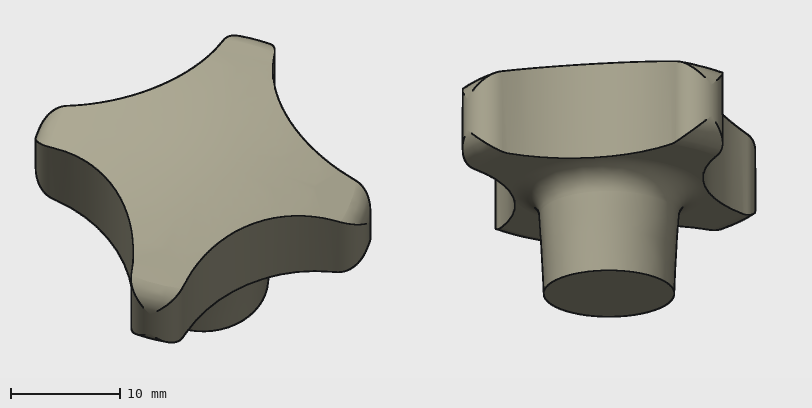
import cadquery as cq
import math

span = 32.0
height = 20.0
dome_radius = 50.0
round_radius = 2.5
stem_foot_diameter = 12.0
stem_draft = math.radians(3)
scallop_center = 15.87

tip_reach = span / 2
head_base = height / 2
stem_foot_radius = stem_foot_diameter / 2
tip_center = tip_reach - round_radius
scallop_radius = math.hypot(scallop_center - tip_center, scallop_center) - round_radius


def point_on_circle(center, radius, angle):
    return (center[0] + radius * math.cos(angle), center[1] + radius * math.sin(angle))


def make_head_blank():
    """Round head: domed top, flat underside and rounded rim, turned about Z."""
    dome_center = (0, height - dome_radius)
    rise = math.sqrt((dome_radius - round_radius) ** 2 - tip_center ** 2)
    upper_center = (tip_center, dome_center[1] + rise)
    lower_center = (tip_center, head_base + round_radius)
    rim_angle = math.atan2(rise, tip_center)
    dome_middle_angle = (rim_angle + math.pi / 2) / 2
    profile = (
        cq.Workplane("XZ")
        .moveTo(0, head_base)
        .lineTo(tip_center, head_base)
        .threePointArc(
            point_on_circle(lower_center, round_radius, -math.pi / 4),
            (tip_reach, lower_center[1]),
        )
        .lineTo(tip_reach, upper_center[1])
        .threePointArc(
            point_on_circle(upper_center, round_radius, rim_angle / 2),
            point_on_circle(upper_center, round_radius, rim_angle),
        )
        .threePointArc(
            point_on_circle(dome_center, dome_radius, dome_middle_angle),
            (0, height),
        )
        .close()
    )
    return profile.revolve(360, (0, 0, 0), (0, 1, 0))


def turn(point, angle):
    x, y = point
    return (
        x * math.cos(angle) - y * math.sin(angle),
        x * math.sin(angle) + y * math.cos(angle),
    )


def make_star_prism():
    """Four rounded tips joined by tangent concave scallops."""
    tangent_angle = math.atan2(scallop_center, scallop_center - tip_center)
    tip_start = point_on_circle((tip_center, 0), round_radius, -tangent_angle)
    tip_end = point_on_circle((tip_center, 0), round_radius, tangent_angle)
    scallop_middle = point_on_circle(
        (scallop_center, scallop_center), scallop_radius, -3 * math.pi / 4
    )
    outline = cq.Workplane("XY").workplane(offset=head_base).moveTo(*tip_start)
    for lobe in range(4):
        angle = lobe * math.pi / 2
        outline = outline.threePointArc(turn((tip_reach, 0), angle), turn(tip_end, angle))
        outline = outline.threePointArc(
            turn(scallop_middle, angle), turn(tip_start, angle + math.pi / 2)
        )
    return outline.close().extrude(height - head_base)


def make_stem():
    """Tapered stem that widens upward and flares into the head."""
    fillet_center_z = head_base - round_radius
    flare_start_z = fillet_center_z + round_radius * math.sin(stem_draft)
    flare_start_radius = stem_foot_radius + flare_start_z * math.tan(stem_draft)
    fillet_center = (
        flare_start_radius + round_radius * math.cos(stem_draft),
        fillet_center_z,
    )
    flare_start_angle = math.pi - stem_draft
    flare_middle_angle = (flare_start_angle + math.pi / 2) / 2
    overlap = round_radius
    profile = (
        cq.Workplane("XZ")
        .lineTo(stem_foot_radius, 0)
        .lineTo(flare_start_radius, flare_start_z)
        .threePointArc(
            point_on_circle(fillet_center, round_radius, flare_middle_angle),
            (fillet_center[0], head_base),
        )
        .lineTo(stem_foot_radius, head_base)
        .lineTo(stem_foot_radius, head_base + overlap)
        .lineTo(0, head_base + overlap)
        .close()
    )
    return profile.revolve(360, (0, 0, 0), (0, 1, 0))


head = make_head_blank().intersect(make_star_prism())
result = head.union(make_stem())